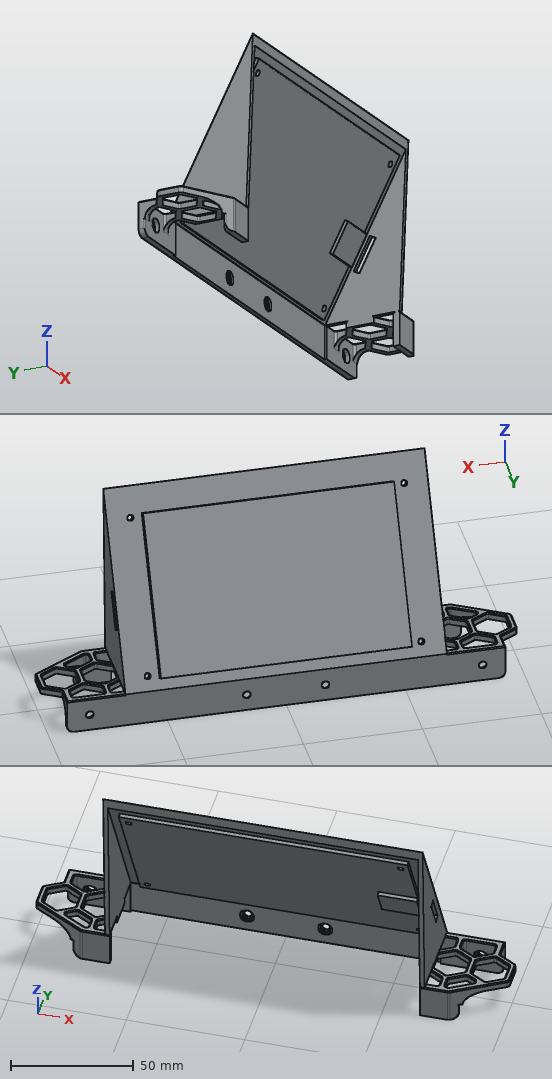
import cadquery as cq
import math

length = 200.0
channel_depth = 36.8
channel_height = 15.0
leg_thickness = 3.0
deck_thickness = 3.0
channel_fillet = 5.0
edge_chamfer = 0.5
leg_end_fillet = 3.0
leg_edge_fillet = 0.5
outline_fillet = 2.0

hood_width = 135.0
hood_side_thickness = 2.0
hood_height = 90.0
face_thickness = 2.0
centre_wall_thickness = 2.0
slope_lean = math.radians(28)

cell_width = 14.0
cell_pitch = 16.5
cell_fillet = 1.0
cell_columns = 2
rim = 3.0
end_web = 2.5
wall_end_offset = 1.6

screw_hole_diameter = 3.2
screw_head_diameter = 6.0
screw_mouth_chamfer = 0.5
screw_seat_thickness = 1.0
screw_z = 7.3
screw_columns = (-5, -1, 1, 5)

display_centre = 39.0
screen_width = 105.4
screen_length = 68.2
screen_rise = 3.2
board_width = 122.0
board_length = 74.8
board_offset = 0.6
board_thickness = 1.6
board_hole_diameter = 2.5
board_hole_spacing_x = 115.0
board_hole_spacing_slope = 65.4
connector_width = 16.6
connector_length = 15.0
connector_height = 1.6
connector_offset = -4.8
slot_length = 16.0
slot_height = 3.0

half_depth = channel_depth / 2
half_hood = hood_width / 2
half_opening = half_hood - hood_side_thickness
ear_start_x = half_opening - cell_pitch
deck_bottom = channel_height - deck_thickness
leg_height = deck_bottom - channel_fillet
first_cell_x = length / 2 - cell_width / 2 - end_web
cell_row_step = cell_pitch * math.sqrt(3) / 2
end_hex_flat = length / 2 - first_cell_x
end_hex_corner = end_hex_flat / math.sqrt(3)
end_hex_point = 2 * end_hex_corner
wall_end_x = first_cell_x + wall_end_offset
slope_tan = math.tan(slope_lean)
face_drop = face_thickness / math.sin(slope_lean)
apex_y = half_depth - (hood_height - channel_height) * slope_tan
board_front = -face_thickness
board_back = board_front - board_thickness
TALL = 4 * hood_height


def slope_plane(height):
    """Plane along the slope, `height` above the hood's face; its local Y points up the slope."""
    up_y = -math.sin(slope_lean) * display_centre
    up_z = math.cos(slope_lean) * display_centre
    out_y = math.cos(slope_lean) * height
    out_z = math.sin(slope_lean) * height
    return cq.Plane(
        origin=(0, half_depth + up_y + out_y, channel_height + up_z + out_z),
        xDir=(-1, 0, 0),
        normal=(0, math.cos(slope_lean), math.sin(slope_lean)),
    )


def slope_box(width, along, bottom, top, x=0.0, offset=0.0):
    """Box lying on the slope between two heights, centred at `x` and `offset` up the slope."""
    base = cq.Workplane(slope_plane(bottom)).center(-x, offset)
    return base.rect(width, along).extrude(top - bottom)


def board_holes():
    """Screw holes at the board's corners, through the board and the hood's face."""
    return (
        cq.Workplane(slope_plane(board_back - face_thickness))
        .rect(board_hole_spacing_x, board_hole_spacing_slope, forConstruction=True)
        .vertices()
        .circle(board_hole_diameter / 2)
        .extrude(3 * face_thickness + board_thickness)
    )


def ear_outline(inset):
    """Plan of the right ear, drawn in by `inset` all round except at its inner end."""
    flat = end_hex_flat - inset
    corner = flat / math.sqrt(3)
    front_y = -half_depth + inset
    end_x = first_cell_x + flat
    diagonal_x = end_x - (-corner - front_y) * math.sqrt(3)
    wall_x = wall_end_x - inset
    shoulder_y = corner + (end_x - wall_x) / math.sqrt(3)
    return cq.Workplane("XY").polyline([
        (ear_start_x, front_y),
        (diagonal_x, front_y),
        (end_x, -corner),
        (end_x, corner),
        (wall_x, shoulder_y),
        (wall_x, half_depth - inset),
        (ear_start_x, half_depth - inset),
    ]).close()


def rounded_outline():
    """Block of the right ear's plan, with its outer corners rounded but for the wall's end."""
    block = ear_outline(0).extrude(channel_height)
    corners = cq.selectors.BoxSelector(
        (half_opening, -channel_depth, 0),
        (2 * length, end_hex_point / 2 + 1, channel_height),
    )
    return block.edges("|Z").edges(corners).fillet(outline_fillet)


def ear_legs():
    """Lower part of the two legs, with rounded inner edges and bottom corners at their ends."""
    outline = rounded_outline().intersect(cq.Workplane("XY").box(TALL, TALL, 2 * leg_height))
    legs = []
    for side in (-1, 1):
        strip = cq.Workplane("XY").box(TALL, leg_thickness, TALL)
        leg = outline.intersect(strip.translate((0, side * (half_depth - leg_thickness / 2), 0)))
        inner_face = "<Y" if side > 0 else ">Y"
        leg = leg.faces(inner_face).edges(">X").fillet(leg_edge_fillet)
        end_x = leg.val().BoundingBox().xmax
        side_shape = (
            cq.Workplane("XY")
            .box(end_x, TALL, TALL, centered=(False, True, False))
            .edges("|Y and >X and <Z")
            .fillet(leg_end_fillet)
        )
        legs.append(leg.intersect(side_shape))
    return legs


def ear_deck():
    """Deck of the right ear, with the rounded corners that lead down to the legs."""
    above_legs = (
        cq.Workplane("XY")
        .box(TALL, TALL, TALL, centered=(True, True, False))
        .translate((0, 0, leg_height))
    )
    inside = (
        cq.Workplane("XY")
        .box(TALL, channel_depth - 2 * leg_thickness, deck_bottom, centered=(True, True, False))
        .edges("|X and >Z")
        .fillet(channel_fillet)
    )
    return rounded_outline().intersect(above_legs).cut(inside)


def cells():
    """Honeycomb openings of the right ear; the outer rows are kept inside the ear's rim."""
    limit = ear_outline(rim).extrude(channel_height)
    corner_diameter = cell_width * 2 / math.sqrt(3)
    openings = cq.Workplane("XY")
    for row in (-1, 0, 1):
        for column in range(cell_columns):
            x = first_cell_x - cell_pitch * (column + 0.5 * abs(row))
            cell = (
                cq.Workplane("XY")
                .polygon(6, corner_diameter)
                .extrude(channel_height)
                .rotate((0, 0, 0), (0, 0, 1), 90)
                .translate((x, row * cell_row_step, 0))
            )
            if row:
                cell = cell.intersect(limit)
            openings = openings.add(cell.edges("|Z").fillet(cell_fillet))
    return openings


def ear():
    """Right ear: a deck with honeycomb openings on a pair of legs."""
    body = ear_deck()
    for opening in cells().vals():
        body = body.cut(cq.Workplane(obj=opening))
    body = body.faces(">Z").edges().chamfer(edge_chamfer)
    for leg in ear_legs():
        body = body.union(leg)
    return body.cut(cq.Workplane("XY").box(2 * half_opening, TALL, TALL))


def hood():
    """Sloped face with a triangular side at each end and the wall below it."""
    inner_y = half_depth - centre_wall_thickness
    inner_z = channel_height + centre_wall_thickness / slope_tan - face_drop
    profile = [
        (half_depth, 0),
        (half_depth, channel_height),
        (apex_y, hood_height),
        (-half_depth, channel_height),
        (inner_y, channel_height),
        (inner_y, 0),
    ]
    inside = [
        (inner_y, 0),
        (inner_y, inner_z),
        (inner_y - (hood_height - inner_z) * slope_tan, hood_height),
        (-channel_depth, hood_height),
        (-channel_depth, 0),
    ]
    body = cq.Workplane("YZ").polyline(profile).close().extrude(half_hood, both=True)
    return body.cut(cq.Workplane("YZ").polyline(inside).close().extrude(half_opening, both=True))


def screw_holes():
    """Counterbored holes through the +Y wall, each with a chamfer at its mouth."""
    through_radius = screw_hole_diameter / 2
    mouth_radius = through_radius + screw_mouth_chamfer
    head_radius = screw_head_diameter / 2
    head_y = half_depth - screw_seat_thickness
    head_start_y = half_depth - leg_thickness - channel_fillet
    section = [
        (0, half_depth),
        (through_radius, half_depth),
        (through_radius, head_y + screw_mouth_chamfer),
        (mouth_radius, head_y),
        (head_radius, head_y),
        (head_radius, head_start_y),
        (0, head_start_y),
    ]
    hole = cq.Workplane("XY").polyline(section).close().revolve(360, (0, 0, 0), (0, 1, 0))
    return [hole.translate((column * cell_pitch, 0, screw_z)) for column in screw_columns]


def make_housing():
    right_ear = ear()
    body = hood().union(right_ear).union(right_ear.mirror("YZ"))
    body = body.cut(slope_box(screen_width, screen_length, -2 * face_thickness, screen_rise))
    body = body.cut(board_holes())
    for hole in screw_holes():
        body = body.cut(hole)
    slot = slope_box(
        2 * hood_side_thickness, slot_length, board_back - slot_height, board_back,
        x=half_hood, offset=connector_offset,
    )
    return body.cut(slot)


def make_display():
    board = slope_box(board_width, board_length, board_back, board_front, offset=board_offset)
    screen = slope_box(screen_width, screen_length, board_front, screen_rise)
    connector = slope_box(
        connector_width, connector_length, board_back - connector_height, board_back,
        x=(board_width - connector_width) / 2, offset=connector_offset,
    )
    return board.union(screen).cut(board_holes()).union(connector)


housing = make_housing()
display = make_display()

result = cq.Compound.makeCompound([housing.val(), display.val()])